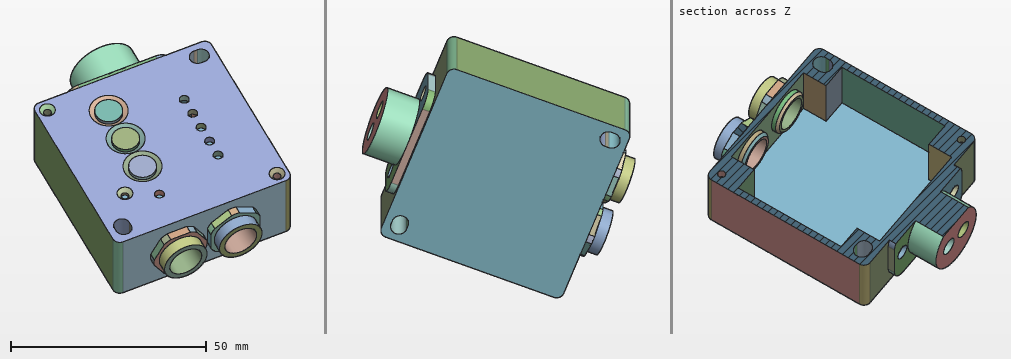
import cadquery as cq
import math


box_side = 50.0
box_height = 21.0
box_corner_radius = 2.0
wall = 2.0
post_side = 9.0
half_side = box_side / 2
half_height = box_height / 2
cavity_side = box_side - 2 * wall
cavity_height = box_height - 2 * wall

slot_width = 4.2
slot_length = slot_width + 1.0
slot_inset_across = 4.0
slot_inset_along = 4.5

screw_diameter = 2.0
screw_head_diameter = 4.0
screw_depth = 6.0
screw_inset = 3.0
inner_screw_x = 11.0
inner_screw_y = -15.8

pitch = 5.0
window_diameter = 2.5
window_row_y = 11.0
window_count = 5
button_row_y = -8.0
button_count = 3
button_pitch = 2 * pitch
button_diameter = 7.2
button_recess_diameter = 9.95
button_recess_depth = 1.0
first_button_x = -3 * pitch
lone_window_x = 3 * pitch

plug_diameter = 18.0
plug_reach = 10.7
flange_thickness = 2.0
flange_width = 30.0
flange_corner_radius = 4.0
flange_screw_y = 11.45
pin_hole_y = 3.2
pin_hole_diameter = 4.7
wire_hole_diameter = 3.0

gland_y = 7.8
gland_reach = 5.2
gland_inner_length = 3.95
gland_diameter = 12.05
gland_bore_diameter = 9.0
gland_chamfer = 0.7
nut_thickness = 2.1
nut_across_flats = 14.0
nut_corner_diameter = 15.0


def rod_x(diameter, x_start, x_end, y):
    """Cylinder along X between two X positions, at mid height."""
    return (
        cq.Workplane("YZ", origin=(x_start, y, 0))
        .circle(diameter / 2)
        .extrude(x_end - x_start)
    )


def screw_cutter(depth):
    """Countersunk hole with its mouth at the origin, going down -Z with a 45 degree cone."""
    screw_radius = screw_diameter / 2
    head_radius = screw_head_diameter / 2
    return (
        cq.Workplane("XZ")
        .moveTo(0, 0)
        .lineTo(head_radius, 0)
        .lineTo(screw_radius, screw_radius - head_radius)
        .lineTo(screw_radius, -depth)
        .lineTo(0, -depth)
        .close()
        .revolve(360, (0, 0, 0), (0, 1, 0))
    )


def make_shell():
    """Rounded box with a closed cavity that leaves a solid post in each corner."""
    shell = (
        cq.Workplane("XY")
        .box(box_side, box_side, box_height)
        .edges("|Z")
        .fillet(box_corner_radius)
    )
    post_centre = half_side - post_side / 2
    posts = (
        cq.Workplane("XY")
        .rect(2 * post_centre, 2 * post_centre, forConstruction=True)
        .vertices()
        .rect(post_side, post_side)
        .extrude(half_height, both=True)
    )
    cavity = cq.Workplane("XY").box(cavity_side, cavity_side, cavity_height).cut(posts)
    return shell.cut(cavity)


def make_plug():
    """Rounded flange against the box with a round plug standing on it."""
    flange = (
        cq.Workplane("XY")
        .box(flange_thickness, flange_width, plug_diameter)
        .edges("|X")
        .fillet(flange_corner_radius)
        .translate((-half_side - flange_thickness / 2, 0, 0))
    )
    return flange.union(rod_x(plug_diameter, -half_side - plug_reach, -half_side, 0))


def cut_plug_holes(body):
    """Pin holes through the plug, narrower wire holes through the wall, and flange screws."""
    inner_face = wall - half_side
    screw = (
        screw_cutter(flange_thickness + wall)
        .rotate((0, 0, 0), (0, 1, 0), -90)
        .translate((-half_side - flange_thickness, 0, 0))
    )
    for side in (-1, 1):
        y = side * pin_hole_y
        body = body.cut(rod_x(pin_hole_diameter, -half_side - plug_reach, -half_side, y))
        body = body.cut(rod_x(wire_hole_diameter, -half_side, inner_face, y))
        body = body.cut(screw.translate((0, side * flange_screw_y, 0)))
    return body


def cut_mounting_slots(body):
    """One slot along Y at the -X +Y corner and one along X at the +X -Y corner."""
    slots = (
        (slot_inset_across - half_side, half_side - slot_inset_along, 90),
        (half_side - slot_inset_along, slot_inset_across - half_side, 0),
    )
    for x, y, angle in slots:
        slot = (
            cq.Workplane("XY")
            .center(x, y)
            .slot2D(slot_length, slot_width, angle)
            .extrude(half_height, both=True)
        )
        body = body.cut(slot)
    return body


def cut_top_screws(body):
    """Screws in the other two corners and one into the cavity."""
    corner = half_side - screw_inset
    screw = screw_cutter(screw_depth)
    for x, y in ((-corner, -corner), (corner, corner), (inner_screw_x, inner_screw_y)):
        body = body.cut(screw.translate((x, y, half_height)))
    return body


def cut_windows(body):
    """A row of indicator windows and a lone one beside the buttons, all through the top wall."""
    first_x = -pitch * (window_count - 1) / 2
    places = [(first_x + i * pitch, window_row_y) for i in range(window_count)]
    places.append((lone_window_x, button_row_y))
    windows = (
        cq.Workplane("XY", origin=(0, 0, half_height))
        .pushPoints(places)
        .circle(window_diameter / 2)
        .extrude(-wall)
    )
    return body.cut(windows)


def cut_button_recesses(body):
    """Conical grooves that each leave a button level with the top face."""
    groove = (
        cq.Workplane("XZ")
        .moveTo(button_diameter / 2, 0)
        .lineTo(button_recess_diameter / 2, 0)
        .lineTo(button_diameter / 2, -button_recess_depth)
        .close()
        .revolve(360, (0, 0, 0), (0, 1, 0))
    )
    for i in range(button_count):
        body = body.cut(groove.translate((first_button_x + i * button_pitch, button_row_y, half_height)))
    return body


def make_housing():
    """Box and plug, with all their holes and the two gland holes in the +X wall."""
    body = make_shell().union(make_plug())
    body = cut_plug_holes(body)
    body = cut_mounting_slots(body)
    body = cut_top_screws(body)
    body = cut_windows(body)
    body = cut_button_recesses(body)
    for side in (-1, 1):
        body = body.cut(rod_x(gland_diameter, half_side - wall, half_side, side * gland_y))
    return body


def make_gland(y, nut_angle):
    """Bored tube through the +X wall with a hexagon collar; nut_angle turns it about X."""
    tube = (
        rod_x(gland_diameter, half_side - gland_inner_length, half_side + gland_reach, y)
        .faces("<X")
        .chamfer(gland_chamfer)
    )
    hexagon = (
        cq.Workplane("YZ", origin=(half_side, y, 0))
        .polygon(6, nut_across_flats / math.cos(math.pi / 6))
        .extrude(nut_thickness)
        .rotate((0, y, 0), (1, y, 0), nut_angle)
    )
    nut = hexagon.intersect(rod_x(nut_corner_diameter, half_side, half_side + nut_thickness, y))
    bore = rod_x(gland_bore_diameter, half_side - gland_inner_length, half_side + gland_reach, y)
    return tube.union(nut).cut(bore)


housing = make_housing()

glands = [make_gland(y, nut_angle) for y, nut_angle in ((gland_y, 30), (-gland_y, 0))]

result = cq.Compound.makeCompound([housing.val(), *[gland.val() for gland in glands]])